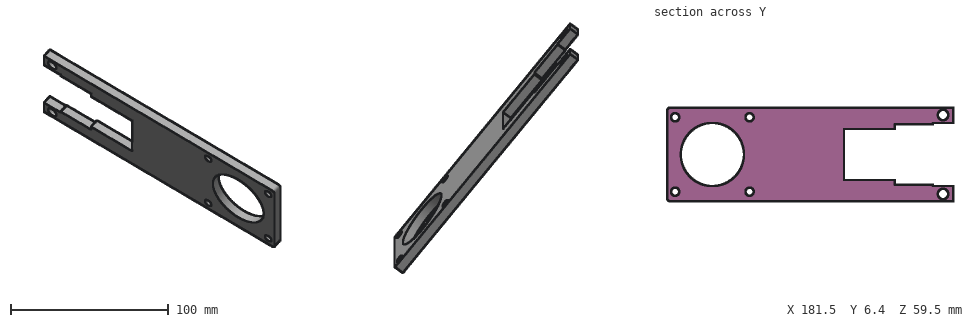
import cadquery as cq

length = 181.5
thickness = 6.4
height = 59.5
corner_radius = 2.0
left_end = -length / 2

notch_steps = [(13.0, 40.0), (37.0, 38.1), (69.4, 32.1)]

arm_hole_diameter = 6.5
arm_hole_x = left_end + 6.5
arm_hole_spacing = 50.1

bore_diameter = 40.0
bore_x = left_end + 152.9
mount_hole_diameter = 5.0
mount_hole_spacing = 47.2


def through_holes(points, diameter):
    """Cylinders that cross the plate thickness at the given XZ points."""
    return (
        cq.Workplane("XZ", origin=(0, thickness / 2, 0))
        .pushPoints(points)
        .circle(diameter / 2)
        .extrude(thickness)
    )


plate = cq.Workplane("XY").box(length, thickness, height)
plate = plate.edges("|Y and >X").fillet(corner_radius)

for depth, opening in notch_steps:
    step = cq.Workplane("XY").box(depth, thickness, opening)
    plate = plate.cut(step.translate((left_end + depth / 2, 0, 0)))

arm_holes = [(arm_hole_x, side * arm_hole_spacing / 2) for side in (-1, 1)]
mount_holes = [
    (bore_x + across * mount_hole_spacing / 2, up * mount_hole_spacing / 2)
    for across in (-1, 1)
    for up in (-1, 1)
]

plate = plate.cut(through_holes(arm_holes, arm_hole_diameter))
plate = plate.cut(through_holes([(bore_x, 0)], bore_diameter))
plate = plate.cut(through_holes(mount_holes, mount_hole_diameter))

result = plate